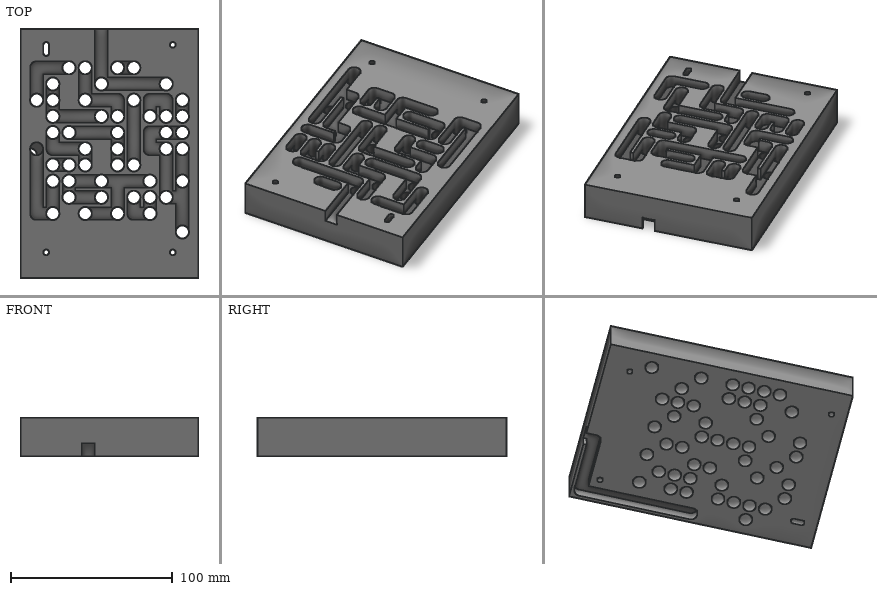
import cadquery as cq

WIDTH = 110.0
LENGTH = 154.0
THICKNESS = 24.0

PITCH = 10.0
COLUMNS = 10
FIRST_COLUMN = (WIDTH - (COLUMNS - 1) * PITCH) / 2
FIRST_ROW = 24.0
CHANNEL_WIDTH = 8.0
CHANNEL_DEPTH = 8.0
CHANNEL_FLOOR = THICKNESS - CHANNEL_DEPTH
LAST_PORT_Y = 28.5
LAST_PORT_ROW = (LENGTH - FIRST_ROW - LAST_PORT_Y) / PITCH

GROOVE_WIDTH = 8.0
GROOVE_HEIGHT = 8.0
GROOVE_MARGIN = 6.0
GROOVE_OUTLET_X = 41.9
GROOVE_END_Y = 76.0

MOUNT_DIAMETER = 3.4
MOUNT_SIDE_MARGIN = 15.9
MOUNT_FRONT_MARGIN = 15.9
MOUNT_BACK_MARGIN = 9.9
MOUNT_SLOT_TRAVEL = 5.1

PATHS = [
    [(0, 2), (0, 0), (2, 0)],
    [(3, 0), (3, 2), (5, 2), (5, 3)],
    [(5, 0), (6, 0)],
    [(4, 1), (8, 1)],
    [(1, 1), (1, 3), (4, 3)],
    [(2, 4), (5, 4), (5, 6)],
    [(6, 2), (6, 6)],
    [(7, 3), (7, 2), (8, 2), (8, 3)],
    [(9, 2), (9, 3)],
    [(9, 4), (7, 4), (7, 5), (8, 5), (8, 8), (9, 8)],
    [(9, 5), (9, LAST_PORT_ROW)],
    [(1, 4), (1, 5), (3, 5), (3, 6)],
    [(1, 6), (2, 6)],
    [(0, 5), (0, 9), (1, 9), (1, 7)],
    [(4, 8), (2, 8), (2, 7), (7, 7)],
    [(5, 7), (5, 9), (3, 9)],
    [(6, 8), (6, 9), (7, 9), (7, 8)],
]

PORT_COLUMNS = {
    0: [2, 3, 5, 6],
    1: [1, 4, 8],
    2: [0, 1, 3, 6, 9],
    3: [1, 4, 5, 7, 8, 9],
    4: [1, 2, 5, 8, 9],
    5: [3, 5, 8, 9],
    6: [1, 2, 3, 5, 6],
    7: [1, 2, 4, 7, 9],
    8: [2, 4, 6, 7, 8],
    9: [1, 3, 5, 7],
    LAST_PORT_ROW: [9],
}

OUTLET_NODE = (4, 1)
GROOVE_PORT = (0, 5)


def node(column, row):
    """Plate position of a grid node; the origin is the front left corner."""
    return FIRST_COLUMN + column * PITCH, LENGTH - FIRST_ROW - row * PITCH


def run(start, end, width, bottom, height):
    """Straight round-ended cutter along X or Y between two points."""
    (x1, y1), (x2, y2) = start, end
    travel = abs(x2 - x1) + abs(y2 - y1)
    angle = 0 if y1 == y2 else 90
    return (
        cq.Workplane("XY", origin=((x1 + x2) / 2, (y1 + y2) / 2, bottom))
        .slot2D(travel + width, width, angle)
        .extrude(height)
    )


def cut_path(body, points, width, bottom, height):
    for start, end in zip(points, points[1:]):
        body = body.cut(run(start, end, width, bottom, height))
    return body


def cut_holes(body, centres, diameter, bottom, top):
    cutter = (
        cq.Workplane("XY", origin=(0, 0, bottom))
        .pushPoints(centres)
        .circle(diameter / 2)
        .extrude(top - bottom)
    )
    return body.cut(cutter)


def cut_channels(body):
    for path in PATHS:
        points = [node(*place) for place in path]
        body = cut_path(body, points, CHANNEL_WIDTH, CHANNEL_FLOOR, CHANNEL_DEPTH)
    outlet_x, outlet_y = node(*OUTLET_NODE)
    outlet = [(outlet_x, outlet_y), (outlet_x, LENGTH + CHANNEL_WIDTH)]
    return cut_path(body, outlet, CHANNEL_WIDTH, CHANNEL_FLOOR, CHANNEL_DEPTH)


def cut_ports(body):
    """Round ports between the channel floor and the underside."""
    ports = [node(column, row) for row, columns in PORT_COLUMNS.items() for column in columns]
    body = cut_holes(body, ports, CHANNEL_WIDTH, 0, CHANNEL_FLOOR)
    return cut_holes(body, [node(*GROOVE_PORT)], CHANNEL_WIDTH, GROOVE_HEIGHT, CHANNEL_FLOOR)


def cut_groove(body):
    """Groove from the front side, along the front edge and up the left edge."""
    points = [
        (GROOVE_OUTLET_X, -GROOVE_WIDTH),
        (GROOVE_OUTLET_X, GROOVE_MARGIN),
        (GROOVE_MARGIN, GROOVE_MARGIN),
        (GROOVE_MARGIN, GROOVE_END_Y),
    ]
    return cut_path(body, points, GROOVE_WIDTH, 0, GROOVE_HEIGHT)


def cut_mounting_holes(body):
    left, right = MOUNT_SIDE_MARGIN, WIDTH - MOUNT_SIDE_MARGIN
    front, back = MOUNT_FRONT_MARGIN, LENGTH - MOUNT_BACK_MARGIN
    body = cut_holes(body, [(left, front), (right, front), (right, back)], MOUNT_DIAMETER, 0, THICKNESS)
    slot = [(left, back), (left, back - MOUNT_SLOT_TRAVEL)]
    return cut_path(body, slot, MOUNT_DIAMETER, 0, THICKNESS)


plate = cq.Workplane("XY").box(WIDTH, LENGTH, THICKNESS, centered=False)
plate = cut_channels(plate)
plate = cut_ports(plate)
plate = cut_groove(plate)
result = cut_mounting_holes(plate)